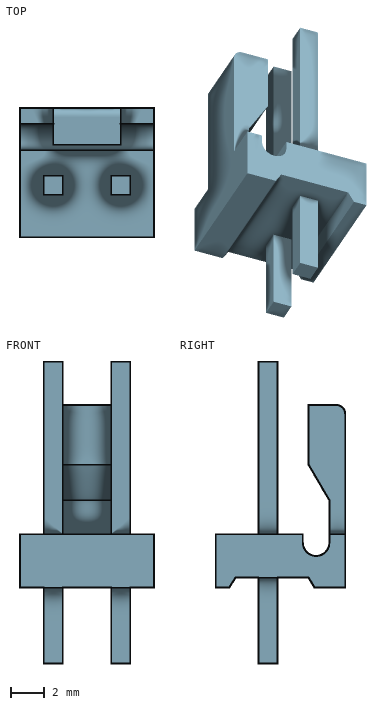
import cadquery as cq

pin_size = 1.14
pin_pitch = 3.96
pin_length = 17.78
pin_tail = 4.48

base_width = 7.91
base_height = 3.15
base_depth = 7.63
back_y = 4.55
front_y = back_y - base_depth

recess_height = 0.59
back_foot_bottom = 1.81
back_foot_top = 2.17
front_foot_bottom = 0.8
front_foot_top = 1.17

groove_width = 1.55
groove_depth = 1.28
groove_radius = groove_width / 2

ramp_width = 3.95
ramp_thickness = 0.95
ramp_height = 7.61
hook_thickness = 2.17
hook_slope_start = 2.0
hook_slope_end = 4.09
hook_round = 0.53


def extrude_along_x(profile, width):
    """Extrude a closed YZ profile symmetrically about X = 0."""
    return profile.close().extrude(width / 2, both=True)


def make_base():
    groove_back = back_y - ramp_thickness
    groove_front = groove_back - groove_width
    arc_start_z = base_height - groove_depth + groove_radius
    profile = (
        cq.Workplane("YZ")
        .moveTo(back_y, 0)
        .lineTo(back_y, base_height)
        .lineTo(groove_back, base_height)
        .lineTo(groove_back, arc_start_z)
        .threePointArc(
            (groove_back - groove_radius, base_height - groove_depth),
            (groove_front, arc_start_z),
        )
        .lineTo(groove_front, base_height)
        .lineTo(front_y, base_height)
        .lineTo(front_y, 0)
        .lineTo(front_y + front_foot_bottom, 0)
        .lineTo(front_y + front_foot_top, recess_height)
        .lineTo(back_y - back_foot_top, recess_height)
        .lineTo(back_y - back_foot_bottom, 0)
    )
    return extrude_along_x(profile, base_width)


def make_locking_ramp():
    inner_y = back_y - ramp_thickness
    hook_y = back_y - hook_thickness
    top_z = base_height + ramp_height
    profile = (
        cq.Workplane("YZ")
        .moveTo(back_y, base_height)
        .lineTo(inner_y, base_height)
        .lineTo(inner_y, base_height + hook_slope_start)
        .lineTo(hook_y, base_height + hook_slope_end)
        .lineTo(hook_y, top_z)
        .lineTo(back_y, top_z)
    )
    return extrude_along_x(profile, ramp_width).edges(">Y and >Z").fillet(hook_round)


def make_pin(x):
    return (
        cq.Workplane("XY", origin=(x, 0, -pin_tail))
        .rect(pin_size, pin_size)
        .extrude(pin_length)
    )


result = make_base().union(make_locking_ramp())
for side in (-1, 1):
    result = result.union(make_pin(side * pin_pitch / 2))